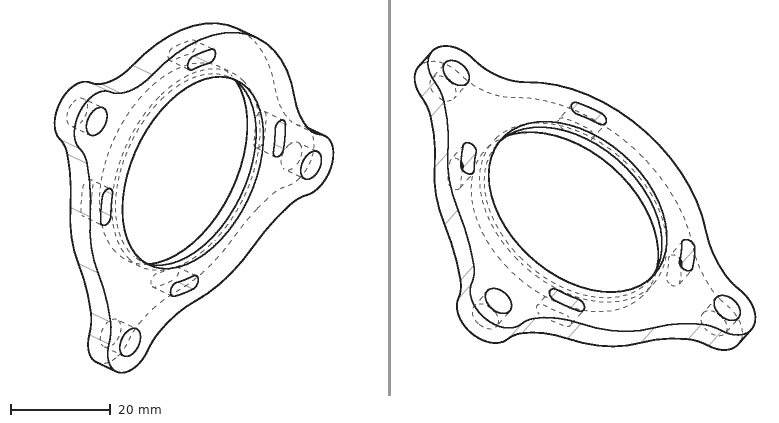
import cadquery as cq
import math

thickness = 5.5
disc_radius = 29.95
bore_radius = 20.5
recess_radius = 21.5
recess_depth = 3.45

lug_diameter = 13.0
lug_radius = lug_diameter / 2
lug_hole_diameter = 6.0
lug_circle_radius = 36.5
lug_blend_radius = 10.0

lugs = [
    (40, (43.5, 35.7), (13.4, 26.9)),
    (200, (20.6, 30.3), (35.9, 34.4)),
    (300, (22.4, 31.1), (54.6, 37.1)),
]

slot_width = 3.0
slot_circle_radius = 25.35
slot_middle_angle = 5.7
slot_span_angle = 11.5
slot_count = 4


def polar(radius, angle):
    """Point at a radius and an angle in degrees around the bore axis."""
    turn = math.radians(angle)
    return (radius * math.cos(turn), radius * math.sin(turn))


def point_between(start, end, distance):
    """Point at a distance from start on the line towards end."""
    share = distance / math.dist(start, end)
    return tuple(a + share * (b - a) for a, b in zip(start, end))


def arc_between(centre, radius, start, end):
    """Midpoint and end of the short arc around a centre."""
    chord_middle = point_between(start, end, math.dist(start, end) / 2)
    return point_between(centre, chord_middle, radius), end


def blend_centre(flank_centre, flank_radius, lug_centre, side):
    """Centre of the lug blend, tangent outside the lug and inside the flank arc."""
    to_lug = lug_radius + lug_blend_radius
    to_flank = flank_radius - lug_blend_radius
    span = math.dist(lug_centre, flank_centre)
    along = (to_lug**2 - to_flank**2 + span**2) / (2 * span)
    across = side * math.sqrt(to_lug**2 - along**2)
    unit_x = (flank_centre[0] - lug_centre[0]) / span
    unit_y = (flank_centre[1] - lug_centre[1]) / span
    return (
        lug_centre[0] + along * unit_x - across * unit_y,
        lug_centre[1] + along * unit_y + across * unit_x,
    )


def flank_points(lug_angle, flank, side):
    """Points from disc to lug: tangent point, arc middle, joint, blend middle, lug point.

    The side is +1 for counterclockwise of the lug and -1 for clockwise.
    """
    flank_radius, flank_angle = flank
    disc_angle = lug_angle + side * flank_angle
    disc_point = polar(disc_radius, disc_angle)
    flank_centre = polar(disc_radius + flank_radius, disc_angle)
    lug_centre = polar(lug_circle_radius, lug_angle)
    small_centre = blend_centre(flank_centre, flank_radius, lug_centre, side)
    joint = point_between(flank_centre, small_centre, flank_radius)
    lug_point = point_between(lug_centre, small_centre, lug_radius)
    return (
        disc_point,
        *arc_between(flank_centre, flank_radius, disc_point, joint),
        *arc_between(small_centre, lug_blend_radius, joint, lug_point),
    )


def sketch_plane():
    """Local x points to -Y and local y to +Z; a negative extrusion runs towards +X."""
    return cq.Workplane(cq.Plane(origin=(0, 0, 0), xDir=(0, -1, 0), normal=(-1, 0, 0)))


def lug_body(lug_angle, clockwise_flank, counterclockwise_flank):
    """Lug with its two flanks, closed through the bore axis inside the disc."""
    first = flank_points(lug_angle, clockwise_flank, -1)
    last = flank_points(lug_angle, counterclockwise_flank, 1)[::-1]
    tip = polar(lug_circle_radius + lug_radius, lug_angle)
    return (
        sketch_plane()
        .lineTo(*first[0])
        .threePointArc(first[1], first[2])
        .threePointArc(first[3], first[4])
        .threePointArc(tip, last[0])
        .threePointArc(last[1], last[2])
        .threePointArc(last[3], last[4])
        .close()
        .extrude(-thickness)
    )


def slot_cutter(middle_angle):
    """Curved slot with round ends, following the slot circle."""
    start_angle = middle_angle - slot_span_angle / 2
    end_angle = middle_angle + slot_span_angle / 2
    inner = slot_circle_radius - slot_width / 2
    outer = slot_circle_radius + slot_width / 2
    cap_angle = math.degrees(slot_width / 2 / slot_circle_radius)
    return (
        sketch_plane()
        .moveTo(*polar(outer, start_angle))
        .threePointArc(polar(outer, middle_angle), polar(outer, end_angle))
        .threePointArc(polar(slot_circle_radius, end_angle + cap_angle), polar(inner, end_angle))
        .threePointArc(polar(inner, middle_angle), polar(inner, start_angle))
        .threePointArc(polar(slot_circle_radius, start_angle - cap_angle), polar(outer, start_angle))
        .close()
        .extrude(-thickness)
    )


plate = sketch_plane().circle(disc_radius).extrude(-thickness)
for lug in lugs:
    plate = plate.union(lug_body(*lug))

plate = plate.cut(sketch_plane().circle(bore_radius).extrude(-thickness))
plate = plate.cut(sketch_plane().circle(recess_radius).extrude(-recess_depth))

hole_centres = [polar(lug_circle_radius, lug_angle) for lug_angle, _, _ in lugs]
plate = plate.cut(sketch_plane().pushPoints(hole_centres).circle(lug_hole_diameter / 2).extrude(-thickness))

for index in range(slot_count):
    plate = plate.cut(slot_cutter(slot_middle_angle + index * 360 / slot_count))

result = plate